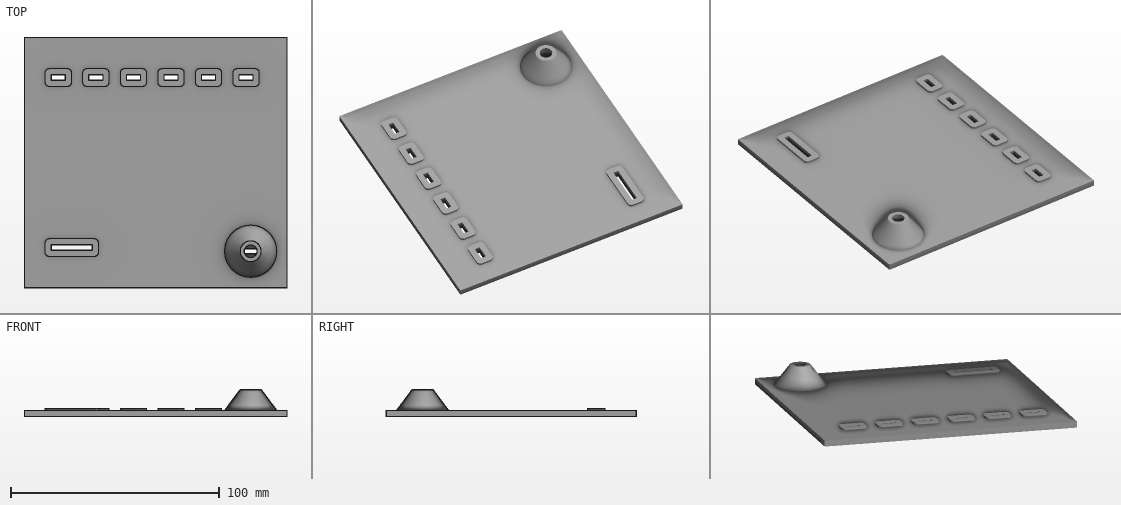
import cadquery as cq

plate_length = 126.0
plate_width = 120.0
plate_thickness = 3.0

slot_width = 2.5
short_slot_length = 6.6
long_slot_length = 19.5
pad_border = 3.0
pad_height = 1.0
pad_corner_radius = 2.0

first_pad_edge = 10.0
short_pad_count = 6
short_pad_pitch = 18.0
pad_row_inset = 19.25

cone_x = 108.5
cone_y = 17.5
cone_base_diameter = 25.0
cone_top_diameter = 10.0
cone_height = 10.0
cone_bore_diameter = 6.0
cone_slot_length = short_slot_length
cone_slot_width = 2.2


def block(center_x, center_y, length, width, bottom, height):
    """Rectangular block centred in plan and standing on the given height."""
    return cq.Workplane("XY", origin=(center_x, center_y, bottom)).rect(length, width).extrude(height)


def slot_cutter(center_x, center_y, length, width):
    """Cutter for a slot through the plate and any pad on it."""
    return block(center_x, center_y, length, width, 0, plate_thickness + pad_height)


def add_slotted_pad(plate, center_x, center_y, slot_length):
    """Raise a rounded pad on the plate and cut its slot through both."""
    pad_length = slot_length + 2 * pad_border
    pad_width = slot_width + 2 * pad_border
    pad = block(center_x, center_y, pad_length, pad_width, plate_thickness, pad_height)
    pad = pad.edges("|Z").fillet(pad_corner_radius)
    return plate.union(pad).cut(slot_cutter(center_x, center_y, slot_length, slot_width))


def make_plate():
    """Plate with a row of short slotted pads, one long slotted pad and the slot below the cone."""
    plate = cq.Workplane("XY").box(plate_length, plate_width, plate_thickness, centered=False)

    first_short_pad_x = first_pad_edge + pad_border + short_slot_length / 2
    for index in range(short_pad_count):
        pad_x = first_short_pad_x + index * short_pad_pitch
        plate = add_slotted_pad(plate, pad_x, plate_width - pad_row_inset, short_slot_length)

    long_pad_x = first_pad_edge + pad_border + long_slot_length / 2
    plate = add_slotted_pad(plate, long_pad_x, pad_row_inset, long_slot_length)

    return plate.cut(slot_cutter(cone_x, cone_y, cone_slot_length, cone_slot_width))


def make_cone():
    """Truncated cone with a straight bore along its axis."""
    bore_radius = cone_bore_diameter / 2
    half_section = (
        cq.Workplane("XZ", origin=(cone_x, cone_y, plate_thickness))
        .moveTo(bore_radius, 0)
        .lineTo(cone_base_diameter / 2, 0)
        .lineTo(cone_top_diameter / 2, cone_height)
        .lineTo(bore_radius, cone_height)
        .close()
    )
    return half_section.revolve(360, (0, 0, 0), (0, 1, 0))


plate = make_plate()
cone = make_cone()

result = cq.Compound.makeCompound([plate.val(), cone.val()])